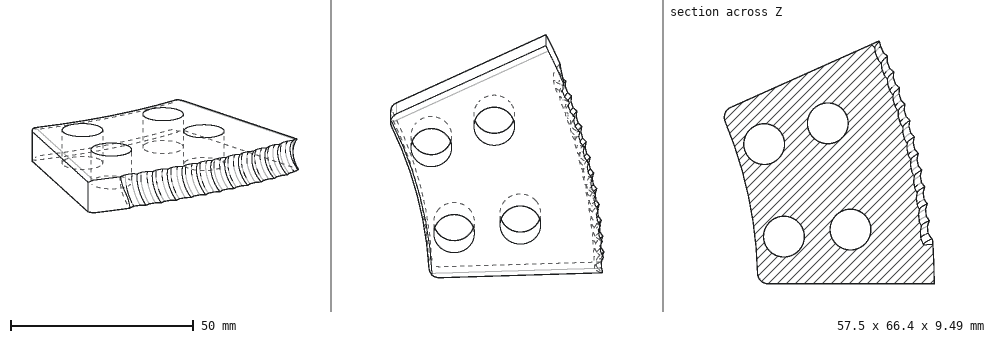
import cadquery as cq
import math

INNER_RADIUS = 115.3
OUTER_RADIUS = 163.65
SECTOR_ANGLE = 24.11
THICKNESS = 9.49
CORNER_RADIUS = 3.0

INNER_BEVEL_WIDTH = 0.8
INNER_BEVEL_HEIGHT = 0.9
SIDE_BEVEL_WIDTH = 1.55
SIDE_BEVEL_HEIGHT = 0.45

HOLE_DIAMETER = 11.1
HOLE_CIRCLE_RADII = (123.2, 141.5)
HOLE_ANGLES = (SECTOR_ANGLE / 4, SECTOR_ANGLE * 3 / 4)

TEETH_PER_TURN = 220
GULLET_COUNT = 13
FIRST_GULLET_ANGLE = 4.81
GULLET_END_DEPTH = 1.1
WORM_STARTS = 2
WORM_RADIUS = 6.5
WORM_CORE_RADIUS = 1.5
THREAD_CREST_WIDTH = 1.9
THREAD_ROOT_WIDTH = 5.6
THREAD_FLANK_HEIGHT = 0.58

HALF_THICKNESS = THICKNESS / 2
TOOTH_PITCH_ANGLE = 360 / TEETH_PER_TURN
TOOTH_PITCH = OUTER_RADIUS * math.radians(TOOTH_PITCH_ANGLE)
WORM_LEAD = WORM_STARTS * TOOTH_PITCH
WORM_AXIS_RADIUS = OUTER_RADIUS - GULLET_END_DEPTH + math.sqrt(WORM_RADIUS**2 - HALF_THICKNESS**2)


def polar(radius, angle):
    """XY point at a radius and an angle in degrees about the wheel axis."""
    return (radius * math.cos(math.radians(angle)), radius * math.sin(math.radians(angle)))


def rounded_sector():
    """Flat ring sector with its two inner corners rounded."""
    middle_radius = (INNER_RADIUS + OUTER_RADIUS) / 2
    inner_corners = cq.selectors.BoxSelector(
        (0, -CORNER_RADIUS, -HALF_THICKNESS),
        (middle_radius, INNER_RADIUS, HALF_THICKNESS),
    )
    return (
        cq.Workplane("XY")
        .workplane(offset=-HALF_THICKNESS)
        .moveTo(INNER_RADIUS, 0)
        .lineTo(OUTER_RADIUS, 0)
        .threePointArc(polar(OUTER_RADIUS, SECTOR_ANGLE / 2), polar(OUTER_RADIUS, SECTOR_ANGLE))
        .lineTo(*polar(INNER_RADIUS, SECTOR_ANGLE))
        .threePointArc(polar(INNER_RADIUS, SECTOR_ANGLE / 2), (INNER_RADIUS, 0))
        .close()
        .extrude(THICKNESS)
        .edges("|Z")
        .edges(inner_corners)
        .fillet(CORNER_RADIUS)
    )


def bevelled_outline(start, bevel_width, bevel_height, end):
    """Plate cross-section whose starting end is bevelled top and bottom."""
    flat_height = HALF_THICKNESS - bevel_height
    return [
        (start, -flat_height),
        (start + bevel_width, -HALF_THICKNESS),
        (end, -HALF_THICKNESS),
        (end, HALF_THICKNESS),
        (start + bevel_width, HALF_THICKNESS),
        (start, flat_height),
    ]


def inner_bevel_envelope():
    """Full ring whose bore carries the inner bevels."""
    outline = bevelled_outline(INNER_RADIUS, INNER_BEVEL_WIDTH, INNER_BEVEL_HEIGHT, OUTER_RADIUS)
    return cq.Workplane("XZ").polyline(outline).close().revolve(360, (0, 0), (0, 1))


def side_bevel_envelope():
    """Slab lying on the Y = 0 side of the sector, bevelled along that side."""
    outline = bevelled_outline(0, SIDE_BEVEL_WIDTH, SIDE_BEVEL_HEIGHT, OUTER_RADIUS)
    return cq.Workplane("YZ").polyline(outline).close().extrude(OUTER_RADIUS)


def mirrored_across_sector(body):
    """Copy of a body mirrored about the sector's middle plane."""
    half_angle = SECTOR_ANGLE / 2
    centred = body.rotate((0, 0, 0), (0, 0, 1), -half_angle)
    return centred.mirror("XZ").rotate((0, 0, 0), (0, 0, 1), half_angle)


def hole_drills():
    """Cylinders for the four through holes."""
    centres = [polar(radius, angle) for radius in HOLE_CIRCLE_RADII for angle in HOLE_ANGLES]
    return (
        cq.Workplane("XY")
        .workplane(offset=-HALF_THICKNESS)
        .pushPoints(centres)
        .circle(HOLE_DIAMETER / 2)
        .extrude(THICKNESS)
    )


def gullet_cutter():
    """Half turn of left-hand worm thread at angle 0, its middle facing the wheel axis."""
    half_crest = THREAD_CREST_WIDTH / 2
    half_root = THREAD_ROOT_WIDTH / 2
    shoulder_radius = WORM_RADIUS - THREAD_FLANK_HEIGHT
    half_turn_rise = WORM_LEAD / 2
    helix = cq.Wire.makeHelix(WORM_LEAD, half_turn_rise, WORM_RADIUS, lefthand=True)
    thread_outline = [
        (WORM_CORE_RADIUS, -half_root),
        (shoulder_radius, -half_root),
        (WORM_RADIUS, -half_crest),
        (WORM_RADIUS, half_crest),
        (shoulder_radius, half_root),
        (WORM_CORE_RADIUS, half_root),
    ]
    thread = cq.Workplane("XZ").polyline(thread_outline).close().sweep(helix, isFrenet=True)
    return (
        thread.translate((0, 0, -half_turn_rise / 2))
        .rotate((0, 0, 0), (0, 0, 1), -90)
        .rotate((0, 0, 0), (1, 0, 0), -90)
        .translate((WORM_AXIS_RADIUS, 0, 0))
    )


side_envelope = side_bevel_envelope()
plate = (
    rounded_sector()
    .intersect(inner_bevel_envelope())
    .intersect(side_envelope)
    .intersect(mirrored_across_sector(side_envelope))
    .cut(hole_drills())
)

cutter = gullet_cutter()
for index in range(GULLET_COUNT):
    gullet_angle = FIRST_GULLET_ANGLE + index * TOOTH_PITCH_ANGLE
    plate = plate.cut(cutter.rotate((0, 0, 0), (0, 0, 1), gullet_angle))

result = plate